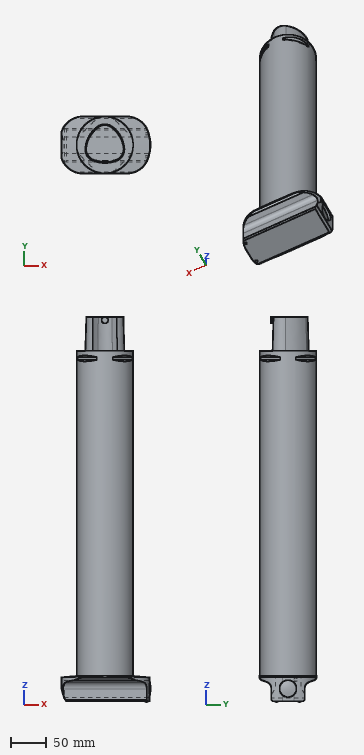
import cadquery as cq
import math

COLUMN_DIAMETER = 80.0
TOTAL_HEIGHT = 544.0
SHANK_LENGTH = 48.0
COLUMN_TOP = TOTAL_HEIGHT - SHANK_LENGTH
COLUMN_RADIUS = COLUMN_DIAMETER / 2

LOBE_REACH = 29.5
SIDE_REACH = 25.5
LOBE_CENTER = 12.0
TAPER_INSET = 1.35
MARK_DIAMETER = 9.0
MARK_DEPTH = 1.5

GROOVE_COUNT = 4
GROOVE_FIRST_ANGLE = 45
GROOVE_DROP = 11.0
GROOVE_CHORD = 38.5
GROOVE_FLOOR_HEIGHT = 4.0
GROOVE_MOUTH_HEIGHT = 8.5

HEAD_WIDTH = 81.0
HEAD_REACH = 63.0
HEAD_CORNER_RADIUS = 32.5
HEAD_FLAT_X = -61.5
HEAD_BOTTOM = 1.0
HEAD_TOP = 37.0
TOP_SLOPE_ANGLE = 5
RIM_BOTTOM = 34.0
RIM_BEVEL_WIDTH = 2.5
RIM_BEVEL_BOTTOM = 31.0
BAR_WIDTH = 47.5
BAR_TOP = 26.0
BAR_FILLET = 10.0
BAR_CHAMFER = 2.0
END_SLOPE_TOP = 19.5
END_SLOPE_BOTTOM = 6.0
END_SLOPE_INSET = 4.0
END_CHAMFER_INSET = 3.0

PIN_DIAMETER = 24.0
PIN_Z = 19.0
PIN_RECESS = 4.0
PIN_TIP_X = 65.0
PORT_DIAMETER = 4.7
PORT_Y = 10.5
PORT_Z = 32.0
PORT_DEPTH = 1.5
STUD_DIAMETER = 4.0
STUD_X = 59.0
STUD_SPACING = 32.5


def polar(radius, angle):
    """Point at a distance from the axis and an angle in degrees."""
    turn = math.radians(angle)
    return (radius * math.cos(turn), radius * math.sin(turn))


def lobed_wire(inset, z):
    """Outline of three lobe arcs and three flatter side arcs, tangent to each other."""
    lobe_tip = LOBE_REACH - inset
    side_middle = SIDE_REACH - inset
    swing = LOBE_REACH - SIDE_REACH
    side_center = (2 * swing * LOBE_CENTER - swing**2) / (LOBE_CENTER - 2 * swing)
    lobe_x, lobe_y = polar(LOBE_CENTER, -30)
    drop = side_center - lobe_y
    centers_apart = math.hypot(lobe_x, drop)
    arc_radius = LOBE_REACH - LOBE_CENTER - inset
    joint_x = lobe_x + arc_radius * lobe_x / centers_apart
    joint_y = lobe_y - arc_radius * drop / centers_apart
    joint_reach = math.hypot(joint_x, joint_y)
    joint_spread = math.degrees(math.atan2(joint_x, -joint_y))

    outline = cq.Workplane("XY", origin=(0, 0, z)).moveTo(*polar(joint_reach, -90 - joint_spread))
    for side_angle in (-90, 30, 150):
        outline = outline.threePointArc(
            polar(side_middle, side_angle), polar(joint_reach, side_angle + joint_spread)
        )
        outline = outline.threePointArc(
            polar(lobe_tip, side_angle + 60), polar(joint_reach, side_angle + 120 - joint_spread)
        )
    return outline.wire().val()


def make_shank():
    base = lobed_wire(0, COLUMN_TOP)
    top = lobed_wire(TAPER_INSET, TOTAL_HEIGHT)
    shank = cq.Workplane(cq.Solid.makeLoft([base, top], True))
    mark = (
        cq.Workplane("XZ", origin=(0, -SIDE_REACH + TAPER_INSET + MARK_DEPTH, 0))
        .center(0, TOTAL_HEIGHT - MARK_DIAMETER / 2)
        .circle(MARK_DIAMETER / 2)
        .extrude(SIDE_REACH)
    )
    return shank.cut(mark)


def make_groove(angle):
    floor_x = math.sqrt(COLUMN_RADIUS**2 - (GROOVE_CHORD / 2) ** 2)
    flank = (GROOVE_MOUTH_HEIGHT - GROOVE_FLOOR_HEIGHT) / 2
    flare = flank * 2
    depth = (COLUMN_RADIUS - floor_x) * 2
    half_floor = GROOVE_FLOOR_HEIGHT / 2
    return (
        cq.Workplane("XZ", origin=(0, 0, COLUMN_TOP - GROOVE_DROP))
        .polyline([
            (floor_x, -half_floor),
            (floor_x + depth, -half_floor - flare),
            (floor_x + depth, half_floor + flare),
            (floor_x, half_floor),
        ])
        .close()
        .extrude(COLUMN_RADIUS, both=True)
        .rotate((0, 0, 0), (0, 0, 1), angle)
    )


def make_column():
    column = (
        cq.Workplane("XY", origin=(0, 0, RIM_BOTTOM))
        .circle(COLUMN_RADIUS)
        .extrude(COLUMN_TOP - RIM_BOTTOM)
    )
    for index in range(GROOVE_COUNT):
        column = column.cut(make_groove(GROOVE_FIRST_ANGLE + index * 360 / GROOVE_COUNT))
    return column


def head_plan():
    """Rounded block that gives the head its outline from above."""
    return (
        cq.Workplane("XY")
        .rect(2 * HEAD_REACH, HEAD_WIDTH)
        .extrude(HEAD_TOP)
        .edges("|Z")
        .fillet(HEAD_CORNER_RADIUS)
    )


def head_section():
    """Bar flaring out to the rim, drawn in YZ and run along X."""
    half_bar = BAR_WIDTH / 2
    half_rim = HEAD_WIDTH / 2
    half = [
        (half_bar - BAR_CHAMFER, HEAD_BOTTOM),
        (half_bar, HEAD_BOTTOM + BAR_CHAMFER),
        (half_bar, BAR_TOP),
        (half_rim - RIM_BEVEL_WIDTH, RIM_BEVEL_BOTTOM),
        (half_rim, RIM_BOTTOM),
        (half_rim, HEAD_TOP),
    ]
    mirrored = [(-y, z) for y, z in reversed(half)]
    section = cq.Workplane("YZ").polyline(half + mirrored).close().extrude(HEAD_REACH, both=True)
    margin = BAR_CHAMFER / 2
    inner_corners = cq.selectors.BoxSelector(
        (-HEAD_REACH, -half_bar - margin, BAR_TOP - margin),
        (HEAD_REACH, half_bar + margin, BAR_TOP + margin),
    )
    return section.edges("|X").edges(inner_corners).fillet(BAR_FILLET)


def head_side():
    """Head seen along Y: flat, leaning and chamfered at the -X end."""
    slope_x = HEAD_FLAT_X + END_SLOPE_INSET
    return (
        cq.Workplane("XZ")
        .polyline([
            (HEAD_FLAT_X, HEAD_TOP),
            (HEAD_FLAT_X, END_SLOPE_TOP),
            (slope_x, END_SLOPE_BOTTOM),
            (slope_x + END_CHAMFER_INSET, HEAD_BOTTOM),
            (HEAD_REACH, HEAD_BOTTOM),
            (HEAD_REACH, HEAD_TOP),
        ])
        .close()
        .extrude(HEAD_WIDTH, both=True)
    )


def head_cone():
    """Solid of revolution whose upper face slopes down and outward from the column."""
    outer = 2 * HEAD_REACH
    fall = (outer - COLUMN_RADIUS) * math.tan(math.radians(TOP_SLOPE_ANGLE))
    return (
        cq.Workplane("XZ")
        .polyline([
            (0, 0),
            (outer, 0),
            (outer, HEAD_TOP - fall),
            (COLUMN_RADIUS, HEAD_TOP),
            (0, HEAD_TOP),
        ])
        .close()
        .revolve(360, (0, 0, 0), (0, 1, 0))
    )


def make_head():
    head = head_plan().intersect(head_section()).intersect(head_side()).intersect(head_cone())
    port = (
        cq.Workplane("YZ", origin=(HEAD_FLAT_X, PORT_Y, PORT_Z))
        .circle(PORT_DIAMETER / 2)
        .extrude(PORT_DEPTH)
    )
    studs = (
        cq.Workplane("XY", origin=(STUD_X, 0, STUD_DIAMETER / 2))
        .pushPoints([(0, -STUD_SPACING / 2), (0, STUD_SPACING / 2)])
        .sphere(STUD_DIAMETER / 2)
    )
    return head.cut(port).union(studs)


def make_pin_bore():
    return (
        cq.Workplane("YZ", origin=(-HEAD_REACH, 0, PIN_Z))
        .circle(PIN_DIAMETER / 2)
        .extrude(2 * HEAD_REACH)
    )


def make_pin():
    """Round pin, recessed at the -X end and domed at the +X end."""
    radius = PIN_DIAMETER / 2
    start_x = HEAD_FLAT_X + PIN_RECESS
    dome_height = PIN_TIP_X - HEAD_REACH
    dome_radius = (radius**2 + dome_height**2) / (2 * dome_height)
    half_radius = radius / 2
    dome_mid_x = PIN_TIP_X - dome_radius + math.sqrt(dome_radius**2 - half_radius**2)
    return (
        cq.Workplane("XY")
        .moveTo(start_x, 0)
        .lineTo(start_x, radius)
        .lineTo(HEAD_REACH, radius)
        .threePointArc((dome_mid_x, half_radius), (PIN_TIP_X, 0))
        .close()
        .revolve(360, (0, 0, 0), (1, 0, 0))
        .translate((0, 0, PIN_Z))
    )


housing = make_head().union(make_column()).union(make_shank()).cut(make_pin_bore())
pin = make_pin()

result = cq.Compound.makeCompound([housing.val(), pin.val()])